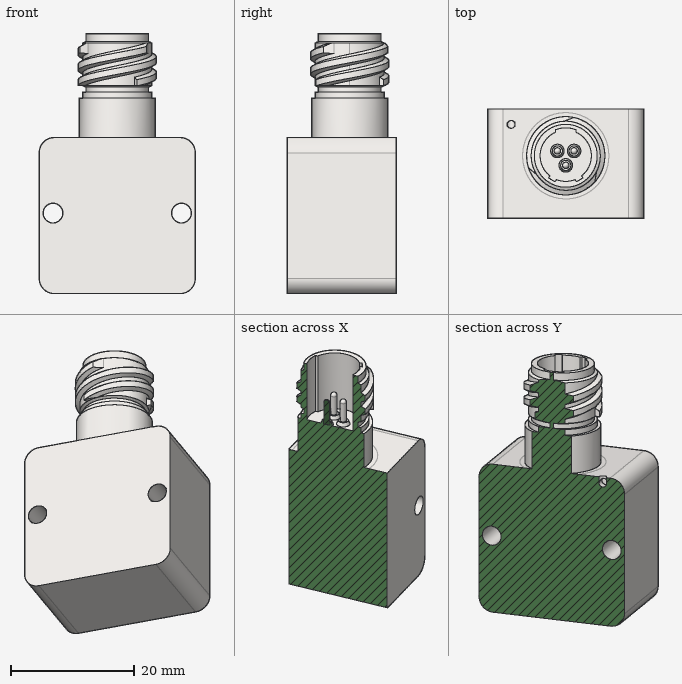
import cadquery as cq
import math

BLOCK_X = 25.4
BLOCK_Y = 17.8
BLOCK_Z = 25.4
BLOCK_CORNER_R = 2.5
MOUNT_HOLE_D = 3.15
MOUNT_HOLE_X = 10.45
MOUNT_HOLE_Z = 13.1

DOT_X = -8.88
DOT_Y = 6.4
DOT_R = 0.65
DOT_DEPTH = 1.7
DOT_TROUGH_LENGTH = 2.55

CONNECTOR_TO_BACK = 7.6
CONNECTOR_Y = BLOCK_Y / 2 - CONNECTOR_TO_BACK
FLANGE_R = 7.0
FLANGE_THICKNESS = 0.85
BARREL_R = 12.4 / 2
COLLAR_R = 5.62
NECK_R = 5.1
BARREL_TOP = 31.8
COLLAR_TOP = 32.75
THREAD_BOTTOM = 33.8
THREAD_TOP = 40.75
THREAD_CHAMFER = 0.25
CONNECTOR_TOP = 42.25

THREAD_STARTS = 3
THREAD_LEAD = 7.52
THREAD_R = 12.72 / 2
THREAD_BASE_WIDTH = 1.8
THREAD_CREST_WIDTH = 1.0
THREAD_START_ANGLE = 180.0
THREAD_START_Z = 34.3
THREAD_SWEEP = 273.0
THREAD_RUNOUT = 15.0
THREAD_OVERLAP = 0.15

BORE_R = 8.33 / 2
BORE_FLOOR = 31.8
KEYWAY_R = 9.1 / 2
KEYWAYS = [(90, 3.3), (240, 1.23), (300, 1.23)]

PIN_CIRCLE_R = 1.55
PIN_ANGLES = [30, 150, 270]
PIN_R = 1.05 / 2
PIN_TOP = 36.35
TOWER_BASE_R = 2.2 / 2
TOWER_TOP_R = 1.65 / 2
TOWER_HEIGHT = 0.65


def polar(radius, angle):
    """Point at a radius and an angle in degrees about the connector axis."""
    return (radius * math.cos(math.radians(angle)), radius * math.sin(math.radians(angle)))


def make_block():
    """Block with rounded upright corners in XZ and two mounting holes through Y."""
    block = cq.Workplane("XY").box(BLOCK_X, BLOCK_Y, BLOCK_Z, centered=(True, True, False))
    block = block.edges("|Y").fillet(BLOCK_CORNER_R)
    mount_holes = (
        cq.Workplane("XZ")
        .pushPoints([(-MOUNT_HOLE_X, MOUNT_HOLE_Z), (MOUNT_HOLE_X, MOUNT_HOLE_Z)])
        .circle(MOUNT_HOLE_D / 2)
        .extrude(BLOCK_Y / 2, both=True)
    )
    return block.cut(mount_holes).cut(make_dot_hole())


def make_dot_hole():
    """Upright shaft that runs down into a round trough of the same radius."""
    trough_z = BLOCK_Z - DOT_DEPTH + DOT_R
    trough_centre = (DOT_X, DOT_Y, trough_z)
    shaft = cq.Workplane("XY", origin=trough_centre).circle(DOT_R).extrude(BLOCK_Z - trough_z)
    trough = cq.Workplane("XZ", origin=trough_centre).circle(DOT_R).extrude(DOT_TROUGH_LENGTH / 2, both=True)
    return shaft.union(trough)


def make_turned_shell():
    """Solid of revolution of the connector, about the Z axis."""
    outline = [
        (0, BLOCK_Z - FLANGE_THICKNESS),
        (FLANGE_R, BLOCK_Z - FLANGE_THICKNESS),
        (FLANGE_R, BLOCK_Z),
        (BARREL_R, BLOCK_Z),
        (BARREL_R, BARREL_TOP),
        (COLLAR_R, BARREL_TOP),
        (COLLAR_R, COLLAR_TOP),
        (NECK_R, COLLAR_TOP),
        (NECK_R, THREAD_BOTTOM - THREAD_CHAMFER),
        (COLLAR_R, THREAD_BOTTOM),
        (COLLAR_R, THREAD_TOP),
        (NECK_R, THREAD_TOP + THREAD_CHAMFER),
        (NECK_R, CONNECTOR_TOP),
        (0, CONNECTOR_TOP),
    ]
    return cq.Workplane("XZ").polyline(outline).close().revolve(360, (0, 0), (0, 1))


def make_thread_ridge():
    """One ridge that starts on +X with a blunt face and ends in a slanted run-out."""
    slope = (THREAD_BASE_WIDTH - THREAD_CREST_WIDTH) / 2 / (THREAD_R - COLLAR_R)
    root_r = COLLAR_R - THREAD_OVERLAP
    root_half = THREAD_BASE_WIDTH / 2 + slope * THREAD_OVERLAP
    crest_half = THREAD_CREST_WIDTH / 2
    path = cq.Wire.makeHelix(THREAD_LEAD, THREAD_LEAD * THREAD_SWEEP / 360, COLLAR_R)
    ridge = (
        cq.Workplane("XZ")
        .polyline([(root_r, -root_half), (THREAD_R, -crest_half), (THREAD_R, crest_half), (root_r, root_half)])
        .close()
        .sweep(cq.Workplane(obj=path), isFrenet=True)
        .translate((0, 0, THREAD_START_Z))
    )
    runout_start = polar(THREAD_R, THREAD_SWEEP - THREAD_RUNOUT)
    runout_end = polar(COLLAR_R, THREAD_SWEEP)
    runout = (
        cq.Workplane("XY", origin=(0, 0, THREAD_BOTTOM))
        .polyline([runout_start, polar(2 * THREAD_R, THREAD_SWEEP), runout_end])
        .close()
        .extrude(CONNECTOR_TOP - THREAD_BOTTOM)
    )
    band_height = THREAD_TOP - THREAD_BOTTOM
    band = cq.Workplane("XY", origin=(0, 0, THREAD_BOTTOM)).circle(2 * THREAD_R).extrude(band_height)
    return ridge.cut(runout).intersect(band)


def make_socket():
    """Keyed cavity of the connector."""
    depth = CONNECTOR_TOP - BORE_FLOOR
    floor = cq.Workplane("XY", origin=(0, 0, BORE_FLOOR))
    socket = floor.circle(BORE_R).extrude(depth)
    limit = floor.circle(KEYWAY_R).extrude(depth)
    for angle, width in KEYWAYS:
        slot = floor.transformed(rotate=(0, 0, angle)).center(KEYWAY_R, 0).rect(KEYWAY_R, width)
        socket = socket.union(slot.extrude(depth).intersect(limit))
    return socket


def make_towers():
    """Tapered towers on the socket floor, one round each pin."""
    towers = cq.Workplane("XY")
    for angle in PIN_ANGLES:
        x, y = polar(PIN_CIRCLE_R, angle)
        tower = cq.Solid.makeCone(TOWER_BASE_R, TOWER_TOP_R, TOWER_HEIGHT, cq.Vector(x, y, BORE_FLOOR))
        towers = towers.add(tower)
    return towers.combine()


def make_pin(angle):
    """Round pin with a hemispherical tip, standing on the socket floor."""
    x, y = polar(PIN_CIRCLE_R, angle)
    shoulder = PIN_TOP - BORE_FLOOR - PIN_R
    return (
        cq.Workplane("XZ", origin=(x, y + CONNECTOR_Y, BORE_FLOOR))
        .lineTo(PIN_R, 0)
        .lineTo(PIN_R, shoulder)
        .radiusArc((0, shoulder + PIN_R), -PIN_R)
        .close()
        .revolve(360, (0, 0), (0, 1))
    )


def make_connector(pins):
    connector = make_turned_shell()
    ridge = make_thread_ridge()
    for start in range(THREAD_STARTS):
        angle = THREAD_START_ANGLE + start * 360 / THREAD_STARTS
        connector = connector.union(ridge.rotate((0, 0, 0), (0, 0, 1), angle))
    connector = connector.cut(make_socket()).union(make_towers())
    connector = connector.translate((0, CONNECTOR_Y, 0))
    for pin in pins:
        connector = connector.cut(pin)
    return connector


def make_housing(pins):
    """Block and connector in one piece; the rim of the flush flange stays an edge of the top face."""
    return make_block().union(make_connector(pins), clean=False)


pins = [make_pin(angle) for angle in PIN_ANGLES]
housing = make_housing(pins)
result = cq.Compound.makeCompound([housing.val(), *[pin.val() for pin in pins]])